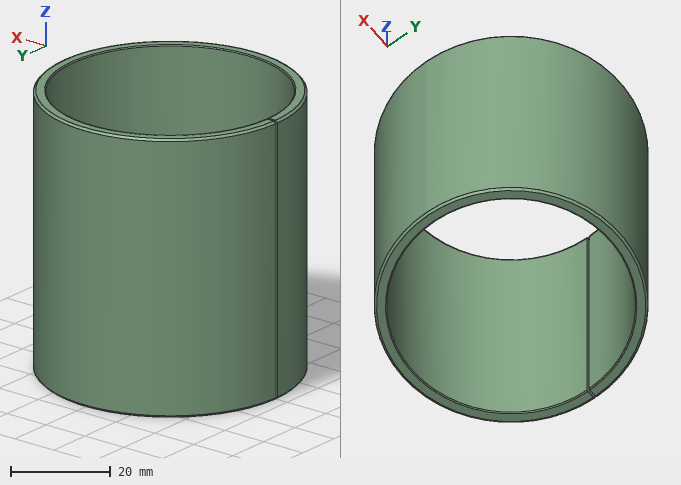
import cadquery as cq

length = 60.0
outer_diameter = 55.0
bore_diameter = 50.0
outer_chamfer = 0.5
bore_chamfer = 0.25
slit_width = 0.5

outer_radius = outer_diameter / 2
bore_radius = bore_diameter / 2
half_length = length / 2


def sleeve():
    """Revolve the wall section, with chamfers on all four end edges."""
    section = [
        (bore_radius, half_length - bore_chamfer),
        (bore_radius + bore_chamfer, half_length),
        (outer_radius - outer_chamfer, half_length),
        (outer_radius, half_length - outer_chamfer),
        (outer_radius, -half_length + outer_chamfer),
        (outer_radius - outer_chamfer, -half_length),
        (bore_radius + bore_chamfer, -half_length),
        (bore_radius, -half_length + bore_chamfer),
    ]
    return cq.Workplane("XZ").polyline(section).close().revolve(360, (0, 0, 0), (0, 1, 0))


def slit():
    """Full-length gap through the wall at -X, with one face on the XZ plane."""
    return cq.Workplane("XY").box(outer_radius, slit_width, length).translate((-outer_radius, slit_width / 2, 0))


result = sleeve().cut(slit())